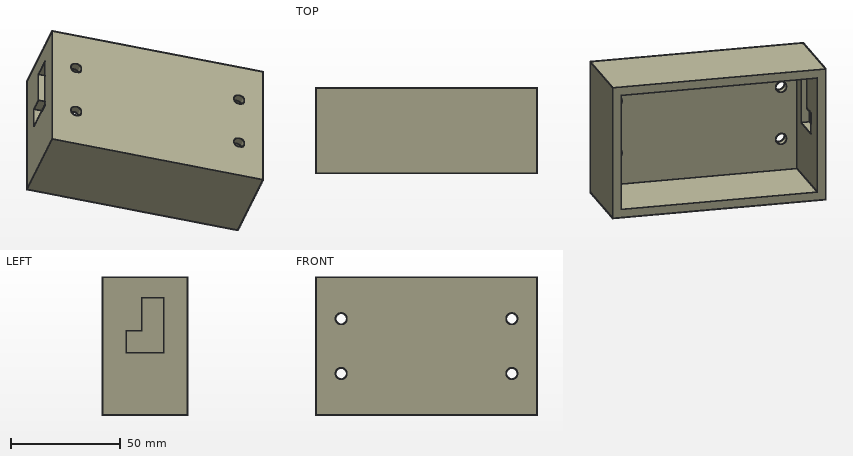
import cadquery as cq

length = 101.0
depth = 39.0
height = 63.0
wall = 4.0

hole_diameter = 5.0
hole_spacing_x = 78.0
hole_spacing_z = 25.0

window_front = 11.0
window_bottom = 28.5
window_height = 25.0
window_foot_depth = 17.0
window_foot_height = 10.0
window_stem_depth = 10.0


def make_shell():
    """Box with a cavity that is open at the back (+Y)."""
    outer = cq.Workplane("XY").box(length, depth, height, centered=False)
    cavity = (
        cq.Workplane("XY")
        .box(length - 2 * wall, depth - wall, height - 2 * wall, centered=False)
        .translate((wall, wall, wall))
    )
    return outer.cut(cavity)


def make_mounting_holes():
    """Four pins that cut the holes through the front wall."""
    return (
        cq.Workplane("XZ", origin=(length / 2, 0, height / 2))
        .rarray(hole_spacing_x, hole_spacing_z, 2, 2)
        .circle(hole_diameter / 2)
        .extrude(-wall)
    )


def make_window():
    """L-shaped block: a tall stem at the front with a foot towards the back."""
    stem_back = window_front + window_stem_depth
    foot_back = window_front + window_foot_depth
    foot_top = window_bottom + window_foot_height
    window_top = window_bottom + window_height
    return (
        cq.Workplane("YZ")
        .moveTo(window_front, window_bottom)
        .lineTo(foot_back, window_bottom)
        .lineTo(foot_back, foot_top)
        .lineTo(stem_back, foot_top)
        .lineTo(stem_back, window_top)
        .lineTo(window_front, window_top)
        .close()
        .extrude(wall)
    )


result = make_shell().cut(make_mounting_holes()).cut(make_window())